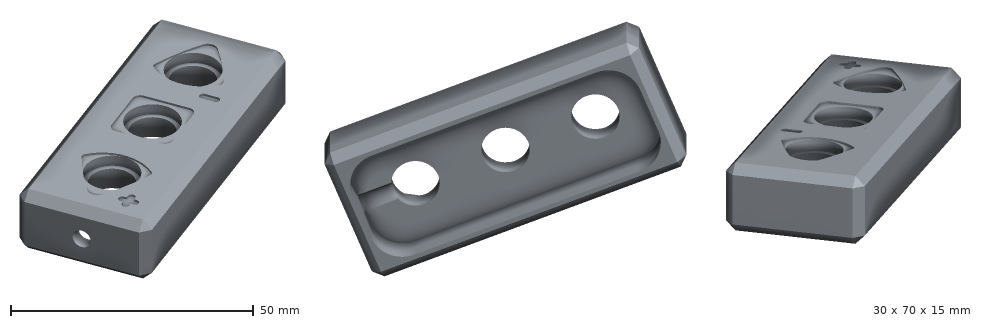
import cadquery as cq
import math

WIDTH = 30.0
LENGTH = 70.0
HEIGHT = 15.0
EDGE_CHAMFER = 2.0

CAVITY_DEPTH = 7.0
WALL = 3.0
CAVITY_CORNER_RADIUS = 7.0

HOLE_PITCH = 20.0
BORE_DIAMETER = 10.0
SEAT_DIAMETER = 12.1
SEAT_DEPTH = 3.0

RECESS_DEPTH = 0.5
SQUARE_SIDE = 13.8
SQUARE_CORNER_RADIUS = 1.7
ARROW_BASE_RADIUS = 11.0
ARROW_SIDE_RADIUS = 56.0
ARROW_SIDE_ANGLE = 30.0
ARROW_CORNER_RADIUS = 1.0
ARROW_TIP_RADIUS = 2.1

MARK_LENGTH = 4.6
MARK_WIDTH = 1.7
MARK_X = 7.5
MARK_OFFSET = 8.1

CABLE_DIAMETER = 4.1

TOP = HEIGHT / 2


def block():
    """Solid block with every outer edge chamfered, centred on the origin."""
    return cq.Workplane("XY").box(WIDTH, LENGTH, HEIGHT).edges().chamfer(EDGE_CHAMFER)


def cavity():
    """Round-cornered pocket open at the underside."""
    return (
        cq.Workplane("XY", origin=(0, 0, -TOP))
        .rect(WIDTH - 2 * WALL, LENGTH - 2 * WALL)
        .extrude(CAVITY_DEPTH)
        .edges("|Z")
        .fillet(CAVITY_CORNER_RADIUS)
    )


def top_plane(x, y):
    """Workplane on the top face with its origin at (x, y)."""
    return cq.Workplane("XY", origin=(x, y, TOP))


def stepped_hole(y):
    """Through bore with a wider seat at the top."""
    bore = top_plane(0, y).circle(BORE_DIAMETER / 2).extrude(-HEIGHT)
    seat = top_plane(0, y).circle(SEAT_DIAMETER / 2).extrude(-SEAT_DEPTH)
    return bore.union(seat)


def square_recess(y):
    """Rounded square around the middle hole."""
    return (
        top_plane(0, y)
        .rect(SQUARE_SIDE, SQUARE_SIDE)
        .extrude(-RECESS_DEPTH)
        .edges("|Z")
        .fillet(SQUARE_CORNER_RADIUS)
    )


def arrow_recess(y, direction):
    """Arrow with bowed sides and base, all three touching the seat circle.

    It is the overlap of three discs, with its corners rounded. The tip points
    along +Y for direction 1 and along -Y for direction -1.
    """
    seat_radius = SEAT_DIAMETER / 2
    base_shift = ARROW_BASE_RADIUS - seat_radius
    side_shift = ARROW_SIDE_RADIUS - seat_radius
    side_angle = math.radians(ARROW_SIDE_ANGLE)

    arrow = (
        top_plane(0, y + direction * base_shift)
        .circle(ARROW_BASE_RADIUS)
        .extrude(-RECESS_DEPTH)
    )
    for side in (-1, 1):
        disc = (
            top_plane(
                side * side_shift * math.cos(side_angle),
                y - direction * side_shift * math.sin(side_angle),
            )
            .circle(ARROW_SIDE_RADIUS)
            .extrude(-RECESS_DEPTH)
        )
        arrow = arrow.intersect(disc)

    tip_edge = ">Y" if direction > 0 else "<Y"
    arrow = arrow.edges("|Z").edges(tip_edge).fillet(ARROW_TIP_RADIUS)
    for base_corner in ("<X", ">X"):
        arrow = arrow.edges("|Z").edges(base_corner).fillet(ARROW_CORNER_RADIUS)
    return arrow


def mark_bar(y, angle):
    """One round-ended bar of a plus or minus mark."""
    return top_plane(MARK_X, y).slot2D(MARK_LENGTH, MARK_WIDTH, angle).extrude(-RECESS_DEPTH)


def cable_hole():
    """Round hole at mid height, from the -Y face into the nearest bore."""
    return (
        cq.Workplane("XZ", origin=(0, -LENGTH / 2, 0))
        .circle(CABLE_DIAMETER / 2)
        .extrude(HOLE_PITCH - LENGTH / 2)
    )


result = block().cut(cavity())

for hole_y in (-HOLE_PITCH, 0, HOLE_PITCH):
    result = result.cut(stepped_hole(hole_y))

result = result.cut(arrow_recess(HOLE_PITCH, 1))
result = result.cut(square_recess(0))
result = result.cut(arrow_recess(-HOLE_PITCH, -1))

minus_y = HOLE_PITCH - MARK_OFFSET
plus_y = -HOLE_PITCH - MARK_OFFSET
result = result.cut(mark_bar(minus_y, 0))
for bar_angle in (0, 90):
    result = result.cut(mark_bar(plus_y, bar_angle))

result = result.cut(cable_hole())